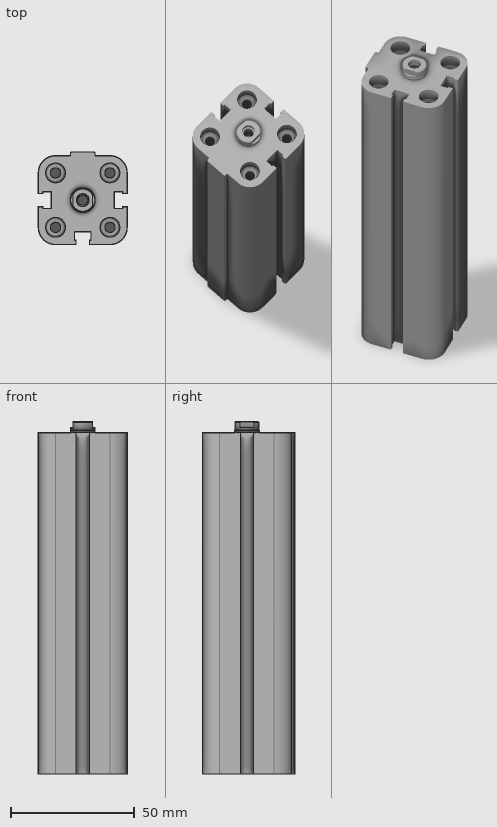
import cadquery as cq
body_side = 36.0
corner_radius = 7.0
total_height = 142.5
rod_projection = 4.5
body_height = total_height - rod_projection

rib_width = 10.0
rib_height = 1.5
rib_edge_chamfer = 0.4

slot_mouth_width = 5.3
slot_inner_width = 6.6
slot_depth = 5.2
slot_lip_depth = 1.85
slot_face_angles = (0, 90, -90)

mount_spacing = 22.0
mount_bore_diameter = 8.0
mount_bore_depth = 5.0
mount_hole_diameter = 4.13
mount_hole_depth = 20.0

rod_diameter = 10.0
rod_insertion = 20.0
rod_step_height = 1.0
rod_step_chamfer = 0.1
rod_tip_diameter = rod_diameter - 2 * rod_step_chamfer
rod_tip_chamfer = 0.35
flat_spacing = 8.0
flat_height = 2.5
thread_diameter = 4.13
thread_depth = 10.0
thread_relief_diameter = 5.2
thread_relief_depth = 2.0


def make_rib():
    """Rib along the +Y face, with its two outer edges chamfered."""
    return (
        cq.Workplane("XY")
        .center(0, (body_side + rib_height) / 2)
        .rect(rib_width, rib_height)
        .extrude(body_height)
        .edges("|Z and >Y")
        .chamfer(rib_edge_chamfer)
    )


def make_slot_cutter():
    """Full-height cutter for the stepped slot in the -Y face."""
    face = -body_side / 2
    mouth = (
        cq.Workplane("XY")
        .center(0, face + slot_lip_depth / 2)
        .rect(slot_mouth_width, slot_lip_depth)
        .extrude(body_height)
    )
    inner_depth = slot_depth - slot_lip_depth
    inner = (
        cq.Workplane("XY")
        .center(0, face + slot_lip_depth + inner_depth / 2)
        .rect(slot_inner_width, inner_depth)
        .extrude(body_height)
    )
    return mouth.union(inner)


def make_housing():
    """Extruded body with rib, slots, corner mounting holes and the bore that holds the rod."""
    housing = (
        cq.Workplane("XY")
        .rect(body_side, body_side)
        .extrude(body_height)
        .edges("|Z")
        .fillet(corner_radius)
        .union(make_rib())
    )
    slot_cutter = make_slot_cutter()
    for angle in slot_face_angles:
        housing = housing.cut(slot_cutter.rotate((0, 0, 0), (0, 0, 1), angle))

    housing = (
        housing.copyWorkplane(cq.Workplane("XY", origin=(0, 0, body_height)))
        .rect(mount_spacing, mount_spacing, forConstruction=True)
        .vertices()
        .cboreHole(mount_hole_diameter, mount_bore_diameter, mount_bore_depth, mount_hole_depth)
    )
    rod_bore = (
        cq.Workplane("XY", origin=(0, 0, body_height - rod_insertion))
        .circle(rod_diameter / 2)
        .extrude(rod_insertion)
    )
    return housing.cut(rod_bore)


def make_rod():
    """Piston rod with a slightly thinner chamfered tip, two wrench flats and a relieved threaded hole."""
    rod_radius = rod_diameter / 2
    tip_radius = rod_tip_diameter / 2
    bottom_z = body_height - rod_insertion
    step_z = body_height + rod_step_height
    rod = (
        cq.Workplane("XZ")
        .moveTo(0, bottom_z)
        .lineTo(rod_radius, bottom_z)
        .lineTo(rod_radius, step_z - rod_step_chamfer)
        .lineTo(tip_radius, step_z)
        .lineTo(tip_radius, total_height - rod_tip_chamfer)
        .lineTo(tip_radius - rod_tip_chamfer, total_height)
        .lineTo(0, total_height)
        .close()
        .revolve(360, (0, 0, 0), (0, 1, 0))
    )
    beside_flats = (
        cq.Workplane("XY", origin=(0, 0, total_height - flat_height))
        .rect(2 * rod_diameter, 2 * rod_diameter)
        .rect(flat_spacing, 2 * rod_diameter)
        .extrude(flat_height)
    )
    return (
        rod.cut(beside_flats)
        .copyWorkplane(cq.Workplane("XY", origin=(0, 0, total_height)))
        .cboreHole(thread_diameter, thread_relief_diameter, thread_relief_depth, thread_depth)
    )


housing = make_housing()
piston_rod = make_rod()
result = cq.Compound.makeCompound([housing.val(), piston_rod.val()])